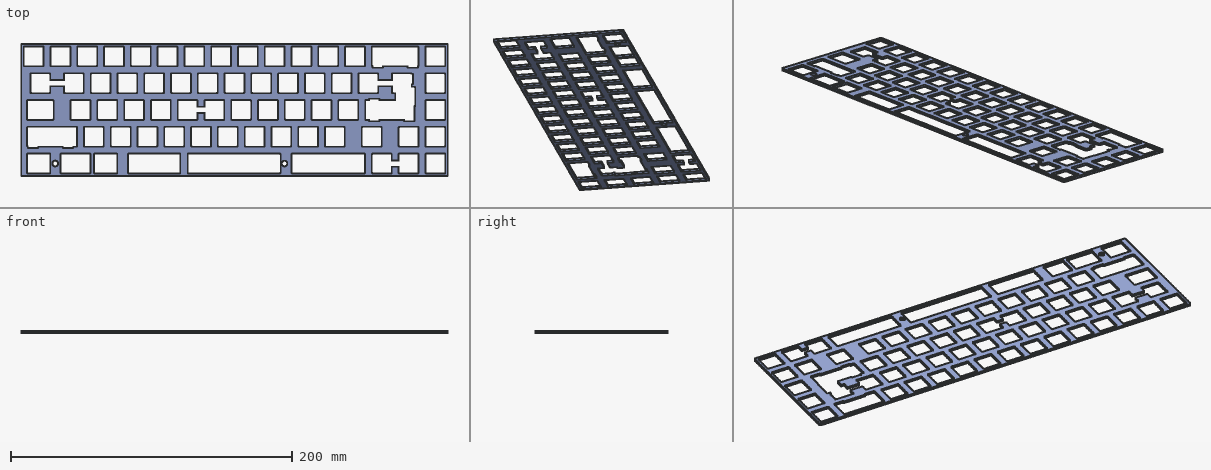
import cadquery as cq


plate_length = 303.8
plate_depth = 94.2
plate_thickness = 1.6
plate_corner_radius = 1.0

grid_span = 266.7
pitches_in_span = 14
last_column = 15
steps_per_key = 8
key_pitch = grid_span / pitches_in_span
column_span = last_column * key_pitch
grid_step = key_pitch / steps_per_key
last_column_step = last_column * steps_per_key

switch_size = 14.0
cutout_corner_radius = 0.45
bridge_height = 4.3
stabilizer_width = 7.3
stabilizer_long_reach = 8.0
stabilizer_short_reach = 5.5
stabilizer_offset = 12.5
mount_hole_diameter = 4.0


def key_run(first_step, count):
    """Single-switch cutouts one key pitch apart."""
    steps = [first_step + steps_per_key * i for i in range(count)]
    return [(step, step) for step in steps]


number_row = key_run(0, 13) + [(104, 112)]
tab_row = [(2, 2)] + key_run(12, 12) + [(110, 110)]
home_row = [(1, 3)] + key_run(14, 11)
shift_row = [(1, 10)] + key_run(18, 10) + [(101, 101), (112, 112)]
space_row = [(1, 2), (11, 14), (21, 22), (80, 96), (104, 104), (112, 112)]
key_rows = [number_row, tab_row, home_row, shift_row, space_row]
number, tab, home, shift, space = range(len(key_rows))

bridges = [(tab, 2, 12), (tab, 100, 110), (home, 46, 54), (space, 104, 112)]

backspace_center = 108
enter_center = 107
left_shift_center = 5
stabilized_keys = [(number, backspace_center), (home, enter_center), (shift, left_shift_center)]

enter_left_switch = 102
tall_enter_switch = 111

left_space_first = 35
left_space_last = 37
right_space_switch = 49
right_space_last = 67

mount_hole_places = [24.3, 187.5]


def column_x(step):
    return step * grid_step - column_span / 2


def row_y(row):
    return ((len(key_rows) - 1) / 2 - row) * key_pitch


def block(x_min, x_max, y, height):
    """Sharp-cornered cutter through the plate, centred on y."""
    center_x = (x_min + x_max) / 2
    return cq.Workplane("XY").center(center_x, y).rect(x_max - x_min, height).extrude(plate_thickness)


def rounded_block(x_min, x_max, y, height):
    return block(x_min, x_max, y, height).edges("|Z").fillet(cutout_corner_radius)


def switch_cutter(row, first, last):
    half = switch_size / 2
    return rounded_block(column_x(first) - half, column_x(last) + half, row_y(row), switch_size)


def bridge_cutter(row, first, last):
    return block(column_x(first), column_x(last), row_y(row), bridge_height)


def stabilizer_pockets(step, row, turn):
    """Pair of stabilizer pockets; unturned, their long reach points to -Y."""
    pocket_height = stabilizer_long_reach + stabilizer_short_reach
    pocket_y = (stabilizer_short_reach - stabilizer_long_reach) / 2
    half = stabilizer_width / 2
    pockets = [
        block(side - half, side + half, pocket_y, pocket_height)
        for side in (-stabilizer_offset, stabilizer_offset)
    ]
    place = (column_x(step), row_y(row), 0)
    return [pocket.rotate((0, 0, 0), (0, 0, 1), turn).translate(place) for pocket in pockets]


def stabilized_key_cutters(row, center):
    """Long opening at switch height with a stabilizer pocket at each end."""
    x = column_x(center)
    reach = stabilizer_offset + stabilizer_width / 2
    opening = block(x - reach, x + reach, row_y(row), switch_size)
    return [opening] + stabilizer_pockets(center, row, 0)


def space_cutters():
    """Two space row openings that reach as far as the stabilizers of the long keys in them."""
    reach = stabilizer_offset + stabilizer_width / 2
    y = row_y(space)
    left_space = rounded_block(
        column_x(left_space_first) - reach, column_x(left_space_last) + reach, y, switch_size
    )
    right_space = rounded_block(
        column_x(right_space_switch) - switch_size / 2, column_x(right_space_last) + reach, y, switch_size
    )
    return [left_space, right_space]


def enter_cutters():
    """Switch and stabilizer cutouts that let either Enter key be fitted."""
    tall_row = (tab + home) / 2
    tall_switch = switch_cutter(tall_row, tall_enter_switch, tall_enter_switch)
    wide_switch = switch_cutter(home, enter_left_switch, enter_center)
    tall_pockets = stabilizer_pockets(tall_enter_switch, tall_row, -90)
    flipped_pockets = stabilizer_pockets(enter_center, home, 180)
    return [tall_switch, wide_switch] + tall_pockets + flipped_pockets


def mount_hole_cutter(place):
    x = place - plate_length / 2
    radius = mount_hole_diameter / 2
    return cq.Workplane("XY").center(x, row_y(space)).circle(radius).extrude(plate_thickness)


cutters = enter_cutters() + space_cutters()
for row, cutouts in enumerate(key_rows):
    for first, last in cutouts + [(last_column_step, last_column_step)]:
        cutters.append(switch_cutter(row, first, last))
for row, first, last in bridges:
    cutters.append(bridge_cutter(row, first, last))
for row, center in stabilized_keys:
    cutters.extend(stabilized_key_cutters(row, center))
for place in mount_hole_places:
    cutters.append(mount_hole_cutter(place))

plate = cq.Workplane("XY").rect(plate_length, plate_depth).extrude(plate_thickness)
plate = plate.edges("|Z").fillet(plate_corner_radius)

cut_plate = plate.val().cut(*[cutter.val() for cutter in cutters])
result = cq.Workplane("XY").newObject(cut_plate.Solids()).clean()